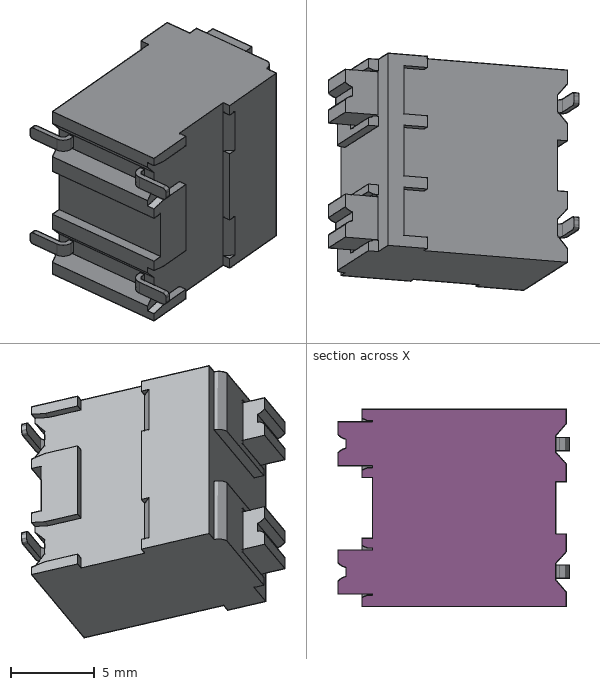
import cadquery as cq

total_length = 13.85
body_height = 11.81
mid_height = body_height / 2

core_half_width = 3.67
lip_left = -4.27
side_right = 4.17
front_y = 0.18
floor_y = 0.82
back_y = 11.79
boss_back_y = 12.42

tooth_height = 0.69
tooth_tip_y = 9.3
lip_edge_y = 10.78
tooth_inner_z = 7.47

waist_front_y = 3.2
waist_back_y = 7.35

groove_outer_z = 10.95
groove_floor_top_z = 10.22
groove_floor_bottom_z = 9.22
groove_inner_z = 8.53

channel_bottom_z = 8.31
channel_top_z = 11.12
mouth_flare = 0.17
mouth_flare_depth = 0.89
boss_flare = 0.14
boss_flare_depth = 0.33

boss_left = -2.52
boss_right = 3.42
boss_bottom_z = 7.71
boss_corner_width = 0.43
boss_corner_radius = 0.7

button_left = -2.42
button_right = 0.61
button_bottom_z = 8.42
button_top_z = 11.07
notch_depth = 0.47
notch_mouth_half = 0.54
notch_middle_half = 0.39
notch_middle_depth = 0.18
notch_floor_half = 0.26

pin_tip_x = 5.25
pin_leg_x = 2.58
pin_thickness = 0.33
pin_bend_radius = 0.61
pin_height = 0.8
pin_z = 9.72
pin_tip_radius = 0.25
pin_embed = 0.14


def box(x0, x1, y0, y1, z0, z1):
    """Axis-aligned block between two opposite corners."""
    return cq.Workplane("XY").box(x1 - x0, y1 - y0, z1 - z0, centered=False).translate((x0, y0, z0))


def along_x(points, x0, x1):
    """Prism with a (Y, Z) outline, running from x0 to x1."""
    return cq.Workplane("YZ").polyline(points).close().extrude(x1 - x0).translate((x0, 0, 0))


def both_units(upper):
    """Upper-unit shape together with its mirror image in the lower unit."""
    return upper.union(upper.mirror("XY", (0, 0, mid_height)))


def housing():
    body = box(-core_half_width, side_right, front_y, back_y, 0, body_height)
    body = body.cut(box(core_half_width, side_right, waist_front_y, waist_back_y, 0, body_height))
    recess = box(-core_half_width, side_right, front_y, floor_y, body_height - tooth_inner_z, tooth_inner_z)
    groove = along_x(
        [
            (front_y, groove_outer_z),
            (floor_y, groove_floor_top_z),
            (floor_y, groove_floor_bottom_z),
            (front_y, groove_inner_z),
        ],
        -core_half_width,
        side_right,
    )
    return body.cut(recess).cut(both_units(groove))


def clip_lip():
    lip = box(lip_left, -core_half_width, lip_edge_y, back_y, 0, body_height)
    tooth_bottoms = (body_height - tooth_height, tooth_inner_z)
    for bottom in tooth_bottoms:
        tooth = box(lip_left, -core_half_width, tooth_tip_y, lip_edge_y, bottom, bottom + tooth_height)
        lip = lip.union(both_units(tooth))
    return lip


def side_window():
    """Slot in the +X side: flared in the front block, chamfered at 45 degrees in the rear block."""
    flare_end_y = front_y + mouth_flare_depth
    front = along_x(
        [
            (front_y, channel_bottom_z - mouth_flare),
            (flare_end_y, channel_bottom_z),
            (waist_front_y, channel_bottom_z),
            (waist_front_y, channel_top_z),
            (flare_end_y, channel_top_z),
            (front_y, channel_top_z + mouth_flare),
        ],
        core_half_width,
        side_right,
    )
    ramp_end_y = waist_back_y + side_right - core_half_width
    ramp = (
        cq.Workplane("XY")
        .polyline([(core_half_width, waist_back_y), (side_right, waist_back_y), (side_right, ramp_end_y)])
        .close()
        .extrude(channel_top_z - channel_bottom_z)
        .translate((0, 0, channel_bottom_z))
    )
    return both_units(front.union(ramp))


def boss():
    block = (
        cq.Workplane("XY")
        .moveTo(boss_left, back_y)
        .lineTo(boss_left, boss_back_y)
        .lineTo(boss_right - boss_corner_width, boss_back_y)
        .radiusArc((boss_right, back_y), boss_corner_radius)
        .close()
        .extrude(body_height - boss_bottom_z)
        .translate((0, 0, boss_bottom_z))
    )
    flare_y = boss_back_y - boss_flare_depth
    pocket = along_x(
        [
            (back_y, channel_bottom_z),
            (flare_y, channel_bottom_z),
            (boss_back_y, channel_bottom_z - boss_flare),
            (boss_back_y, channel_top_z + boss_flare),
            (flare_y, channel_top_z),
            (back_y, channel_top_z),
        ],
        boss_left,
        button_right,
    )
    return both_units(block.cut(pocket))


def button():
    middle = (button_bottom_z + button_top_z) / 2
    notch_floor_y = total_length - notch_depth
    curve_y = total_length - notch_middle_depth
    outline = (
        cq.Workplane("YZ")
        .moveTo(back_y, button_bottom_z)
        .lineTo(total_length, button_bottom_z)
        .lineTo(total_length, middle - notch_mouth_half)
        .threePointArc((curve_y, middle - notch_middle_half), (notch_floor_y, middle - notch_floor_half))
        .lineTo(notch_floor_y, middle + notch_floor_half)
        .threePointArc((curve_y, middle + notch_middle_half), (total_length, middle + notch_mouth_half))
        .lineTo(total_length, button_top_z)
        .lineTo(back_y, button_top_z)
        .close()
    )
    return both_units(outline.extrude(button_right - button_left).translate((button_left, 0, 0)))


def pins():
    bend_x = pin_leg_x + pin_bend_radius
    inner_radius = pin_bend_radius - pin_thickness
    leg_end_y = floor_y + pin_embed
    pin = (
        cq.Workplane("XY")
        .moveTo(pin_tip_x, 0)
        .lineTo(bend_x, 0)
        .radiusArc((pin_leg_x, pin_bend_radius), pin_bend_radius)
        .lineTo(pin_leg_x, leg_end_y)
        .lineTo(pin_leg_x + pin_thickness, leg_end_y)
        .lineTo(pin_leg_x + pin_thickness, pin_bend_radius)
        .radiusArc((bend_x, pin_thickness), -inner_radius)
        .lineTo(pin_tip_x, pin_thickness)
        .close()
        .extrude(pin_height)
        .translate((0, 0, pin_z - pin_height / 2))
    )
    pin = pin.faces(">X").edges("|Y").fillet(pin_tip_radius)
    return both_units(pin.union(pin.mirror("YZ")))


result = housing().union(clip_lip()).cut(side_window()).union(boss()).union(button()).union(pins())